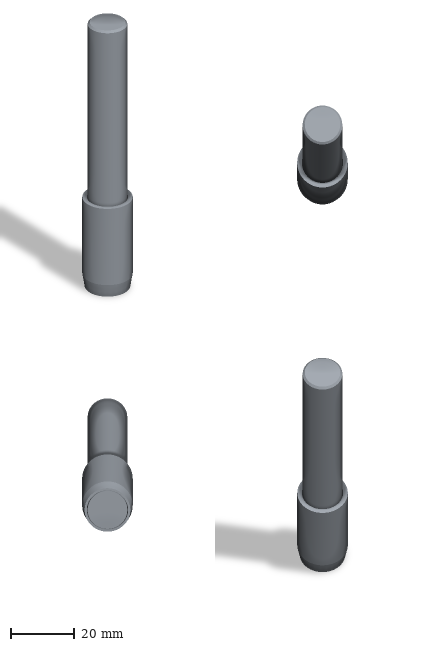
import cadquery as cq

total_length = 95.0

sleeve_diameter = 16.0
sleeve_length = 32.0
bore_diameter = 13.0
taper_height = 4.6
taper_end_diameter = 14.4

pin_diameter = 12.5
pin_chamfer = 0.7


def make_pin():
    """Straight round rod over the full length."""
    rod = cq.Workplane("XY").circle(pin_diameter / 2).extrude(total_length)
    return rod.faces(">Z").chamfer(pin_chamfer)


def make_sleeve():
    """Bush revolved about Z, with a through bore that clears the pin."""
    bore_radius = bore_diameter / 2
    outer_radius = sleeve_diameter / 2
    profile = [
        (bore_radius, 0),
        (taper_end_diameter / 2, 0),
        (outer_radius, taper_height),
        (outer_radius, sleeve_length),
        (bore_radius, sleeve_length),
    ]
    return cq.Workplane("XZ").polyline(profile).close().revolve(360, (0, 0), (0, 1))


pin = make_pin()
sleeve = make_sleeve()

result = cq.Compound.makeCompound([pin.val(), sleeve.val()])